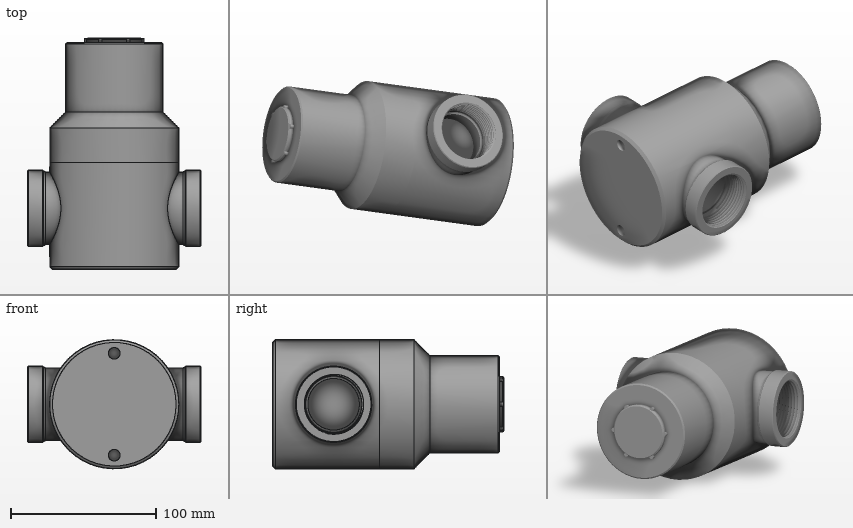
import cadquery as cq

body_diameter = 89.0
body_length = 73.6
body_chamfer = 1.9
face_hole_diameter = 8.0
face_hole_depth = 8.0
face_hole_offset = 35.0

bonnet_diameter = 67.0
bonnet_end = 156.2
bonnet_chamfer = 1.0
shoulder_length = 23.8

overall_length = 159.4
cap_diameter = 38.3
cap_chamfer = 1.0
lobe_count = 6
lobe_radius = 1.5
lobe_setback = 0.5
lobe_circle_radius = 19.1

port_y = 42.1
port_span = 119.4
port_seat = 28.7
flange_diameter = 52.6
flange_rim_diameter = 51.5
flange_width = 11.0
neck_diameter = 50.0
neck_taper_length = 1.5
port_bore_diameter = 35.5
thread_minor_diameter = 38.9
thread_major_diameter = 41.5
thread_depth = 16.9
thread_turns = 7.3
thread_pitch = thread_depth / thread_turns
thread_root_width = 0.5
thread_mouth_width = 1.8
thread_mouth_angle = 220
fitting_roll = 271
mouth_chamfer_diameter = 40.5
threaded_bore_depth = 19.5

cut_clearance = 0.2


def make_body():
    """Cylinder with a chamfered front edge, port recesses and two blind holes in the front face."""
    body = cq.Workplane("XZ").circle(body_diameter / 2).extrude(-body_length)
    body = body.faces("<Y").edges().chamfer(body_chamfer)
    for side in (-1, 1):
        recess = (
            cq.Workplane("YZ", origin=(side * port_seat, port_y, 0))
            .circle(neck_diameter / 2)
            .extrude(side * body_diameter / 2)
        )
        face_hole = (
            cq.Workplane("XZ", origin=(0, 0, side * face_hole_offset))
            .circle(face_hole_diameter / 2)
            .extrude(-face_hole_depth)
        )
        body = body.cut(recess).cut(face_hole)
    return body


def make_bonnet():
    """Turned bonnet that continues the body diameter and narrows to a neck."""
    body_radius = body_diameter / 2
    neck_radius = bonnet_diameter / 2
    cone_start = body_length + shoulder_length
    cone_end = cone_start + body_radius - neck_radius
    return (
        cq.Workplane("XY")
        .moveTo(0, body_length)
        .lineTo(body_radius, body_length)
        .lineTo(body_radius, cone_start)
        .lineTo(neck_radius, cone_end)
        .lineTo(neck_radius, bonnet_end - bonnet_chamfer)
        .lineTo(neck_radius - bonnet_chamfer, bonnet_end)
        .lineTo(0, bonnet_end)
        .close()
        .revolve(360, (0, 0, 0), (0, 1, 0))
    )


def make_cap():
    """Chamfered disc on the bonnet with small round lobes around its rim."""
    thickness = overall_length - bonnet_end
    base = cq.Workplane("XZ", origin=(0, bonnet_end, 0))
    disc = base.circle(cap_diameter / 2).extrude(-thickness)
    disc = disc.faces(">Y").edges().chamfer(cap_chamfer)
    lobes = (
        base.polarArray(lobe_circle_radius, 0, 360, lobe_count)
        .circle(lobe_radius)
        .extrude(lobe_setback - thickness)
    )
    return disc.union(lobes)


def make_thread_groove():
    """Right-handed V groove around Z that runs one pitch past the port mouth."""
    minor_radius = thread_minor_diameter / 2
    major_radius = thread_major_diameter / 2
    flank_slope = (thread_mouth_width - thread_root_width) / (thread_major_diameter - thread_minor_diameter)
    inner_half_width = thread_mouth_width / 2 + cut_clearance * flank_slope
    root_half_width = thread_root_width / 2

    helix = cq.Wire.makeHelix(thread_pitch, thread_depth + thread_pitch, minor_radius)
    groove = (
        cq.Workplane("XZ")
        .moveTo(minor_radius - cut_clearance, -inner_half_width)
        .lineTo(major_radius, -root_half_width)
        .lineTo(major_radius, root_half_width)
        .lineTo(minor_radius - cut_clearance, inner_half_width)
        .close()
        .sweep(cq.Workplane(helix), isFrenet=True)
    )
    inner_end_angle = thread_mouth_angle - 360 * thread_turns
    groove = groove.rotate((0, 0, 0), (0, 0, 1), inner_end_angle)
    return groove.translate((0, 0, port_span / 2 - thread_depth))


def make_fitting(turn):
    """Flanged tube with a threaded mouth: built along Z, laid along X, then turned about Z by an angle."""
    mouth = port_span / 2
    flange_back = mouth - flange_width
    rim_radius = flange_rim_diameter / 2
    flange_radius = flange_diameter / 2
    rim_chamfer = flange_radius - rim_radius
    neck_radius = neck_diameter / 2
    minor_radius = thread_minor_diameter / 2
    mouth_radius = mouth_chamfer_diameter / 2
    bore_radius = port_bore_diameter / 2
    bore_step = mouth - threaded_bore_depth

    fitting = (
        cq.Workplane("XZ")
        .moveTo(bore_radius, port_seat)
        .lineTo(neck_radius, port_seat)
        .lineTo(neck_radius, flange_back - neck_taper_length)
        .lineTo(rim_radius, flange_back)
        .lineTo(flange_radius, flange_back + rim_chamfer)
        .lineTo(flange_radius, mouth - rim_chamfer)
        .lineTo(rim_radius, mouth)
        .lineTo(mouth_radius, mouth)
        .lineTo(minor_radius, mouth - (mouth_radius - minor_radius))
        .lineTo(minor_radius, bore_step)
        .lineTo(bore_radius, bore_step)
        .close()
        .revolve(360, (0, 0, 0), (0, 1, 0))
        .cut(make_thread_groove())
    )
    fitting = fitting.rotate((0, 0, 0), (0, 0, 1), fitting_roll)
    fitting = fitting.rotate((0, 0, 0), (0, 1, 0), 90)
    return fitting.rotate((0, 0, 0), (0, 0, 1), turn).translate((0, port_y, 0))


body = make_body()
bonnet = make_bonnet()
cap = make_cap()
fittings = [make_fitting(turn) for turn in (0, 180)]

parts = [body, bonnet, cap, *fittings]
result = cq.Compound.makeCompound([part.solids().val() for part in parts])